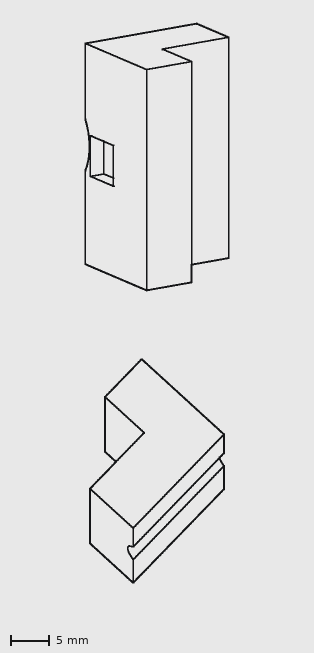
import cadquery as cq

width = 14.75
depth = 17.3
height = 30.0
front_leg_depth = 7.0
rear_leg_width = 7.75

groove_radius = 6.65
groove_depth = 1.0
groove_center_z = 16.2

pocket_side = 5.52
pocket_depth = 2.1
pocket_center_x = 4.02
pocket_center_z = height / 2


def l_block():
    front_leg = cq.Workplane("XY").box(width, front_leg_depth, height, centered=False)
    rear_leg = cq.Workplane("XY").box(rear_leg_width, depth, height, centered=False)
    return front_leg.union(rear_leg)


def side_groove():
    return (
        cq.Workplane("XZ")
        .center(groove_depth - groove_radius, groove_center_z)
        .circle(groove_radius)
        .extrude(-depth)
    )


def front_pocket():
    return (
        cq.Workplane("XZ")
        .center(pocket_center_x, pocket_center_z)
        .rect(pocket_side, pocket_side)
        .extrude(-pocket_depth)
    )


result = l_block().cut(side_groove()).cut(front_pocket())